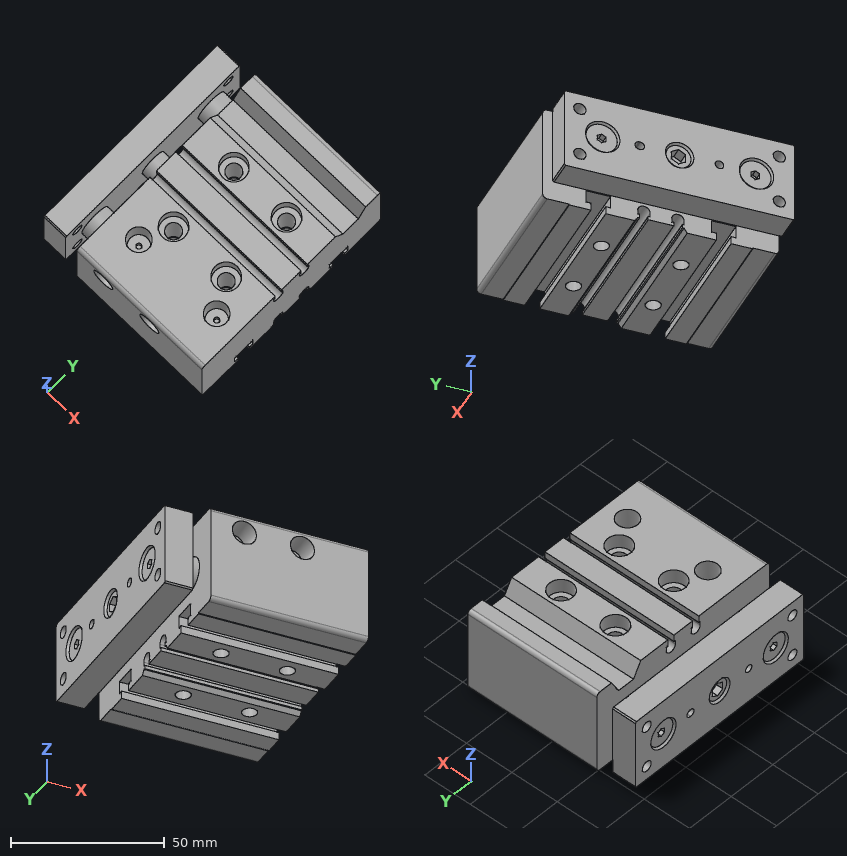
import cadquery as cq
import math


total_length = 73.0
housing_width = 83.0
housing_height = 36.0
plate_thickness = 10.05
rod_gap = 6.0
housing_front = plate_thickness + rod_gap
housing_length = total_length - housing_front
housing_top = housing_height / 2
housing_bottom = -housing_top
housing_side = -housing_width / 2
housing_edge_radius = 1.6

relief_depth = 0.3
foot_half_width = 32.2

plate_width = 80.9
plate_height = 30.0
plate_edge_chamfer = 0.5
corner_hole_diameter = 4.2
corner_hole_pitch_y = 70.0
corner_hole_pitch_z = 18.0
locating_hole_diameter = 3.0
locating_slot_length = 3.3
locating_pitch = 28.0
locating_depth = 6.0

guide_rod_diameter = 12.0
guide_rod_pitch = 53.95
piston_rod_diameter = 10.0
guide_recess_floor = 10.95
piston_recess_floor = 8.7
rod_recess_depth = 0.9
hexagon_sides = 6
guide_socket_flats = 3.0
piston_socket_flats = 5.0
guide_socket_depth = 2.5
piston_socket_depth = 4.15

mount_first_x = housing_front + 17.1
mount_pitch_x = 24.0
mount_pitch_y = locating_pitch
mount_diameter = 5.8
mount_bore_diameter = 10.0
mount_bore_depth = 5.8
tapped_diameter = 5.2
tapped_depth = 12.0

port_mouth_diameter = 8.6
port_floor_diameter = 7.7
port_depth = 8.3
air_passage_diameter = 2.0
air_passage_depth = 2.5
port_front_x = housing_front + 12.1
top_port_rear_x = housing_front + 47.6
side_port_rear_x = housing_front + 33.1
top_port_y = -25.0
side_port_z = 11.4

sensor_groove_y = 6.0
sensor_neck_width = 3.0
sensor_neck_depth = 3.1
sensor_radius = 2.15
sensor_center_depth = 4.5

channel_floor_half_width = 8.05
channel_mouth_half_width = 9.2
channel_depth = 1.7

t_slot_y = 22.0
t_slot_neck_width = 5.2
t_slot_head_width = 8.55
t_slot_lip = 2.8
t_slot_depth = 7.3

groove_y = 27.5
groove_floor_width = 7.1
groove_depth = 6.0
groove_wall_lean = math.radians(30)
groove_mouth_width = groove_floor_width + 2 * groove_depth * math.tan(groove_wall_lean)


def profile_along_housing(points):
    """Extrude a closed YZ outline over the full length of the housing."""
    section = cq.Workplane("YZ", origin=(housing_front, 0, 0)).polyline(points).close()
    return section.extrude(housing_length)


def bar_along_housing(y_center, width, z_low, z_high):
    """Rectangular bar over the full length of the housing."""
    corner = cq.Vector(housing_front, y_center - width / 2, z_low)
    return cq.Workplane(cq.Solid.makeBox(housing_length, width, z_high - z_low, corner))


def tapered_recess(point, direction, mouth_diameter, floor_diameter, depth):
    """Conical recess that narrows from its mouth to a flat floor."""
    cone = cq.Solid.makeCone(mouth_diameter / 2, floor_diameter / 2, depth,
                             cq.Vector(*point), cq.Vector(*direction))
    return cq.Workplane(cone)


def cylinder_along(point, direction, diameter, depth):
    """Solid cylinder that starts at a point and runs along a direction."""
    body = cq.Solid.makeCylinder(diameter / 2, depth, cq.Vector(*point), cq.Vector(*direction))
    return cq.Workplane(body)



def housing_block():
    block = bar_along_housing(0, housing_width, housing_bottom, housing_top)
    margin_width = housing_width / 2 - foot_half_width
    margin_y = foot_half_width + margin_width / 2
    relief_top = housing_bottom + relief_depth
    for side in (-1, 1):
        relief = bar_along_housing(side * margin_y, margin_width, housing_bottom, relief_top)
        block = block.cut(relief)
    outer_edges = block.edges("|X and (<Y or >Y)")
    return outer_edges.fillet(housing_edge_radius)


def sensor_groove(y_center):
    """Narrow neck that opens into a wider channel with a round floor, sunk from the top."""
    neck = bar_along_housing(y_center, sensor_neck_width, housing_top - sensor_neck_depth, housing_top)
    center_z = housing_top - sensor_center_depth
    throat = bar_along_housing(y_center, 2 * sensor_radius, center_z, housing_top - sensor_neck_depth)
    floor = cylinder_along((housing_front, y_center, center_z), (1, 0, 0), 2 * sensor_radius, housing_length)
    return neck.union(throat).union(floor)


def underside_channel():
    floor_z = housing_bottom + channel_depth
    return profile_along_housing([
        (-channel_mouth_half_width, housing_bottom),
        (channel_mouth_half_width, housing_bottom),
        (channel_floor_half_width, floor_z),
        (-channel_floor_half_width, floor_z),
    ])


def t_slot(y_center):
    lip_z = housing_bottom + t_slot_lip
    neck = bar_along_housing(y_center, t_slot_neck_width, housing_bottom, lip_z)
    head = bar_along_housing(y_center, t_slot_head_width, lip_z, housing_bottom + t_slot_depth)
    return neck.union(head)


def top_groove():
    floor_z = housing_top - groove_depth
    return profile_along_housing([
        (groove_y - groove_mouth_width / 2, housing_top),
        (groove_y - groove_floor_width / 2, floor_z),
        (groove_y + groove_floor_width / 2, floor_z),
        (groove_y + groove_mouth_width / 2, housing_top),
    ])


def mounting_hole(x, y):
    bore = cylinder_along((x, y, housing_top), (0, 0, -1), mount_bore_diameter, mount_bore_depth)
    shank_length = housing_height - tapped_depth
    shank = cylinder_along((x, y, housing_top), (0, 0, -1), mount_diameter, shank_length)
    tapped = cylinder_along((x, y, housing_bottom), (0, 0, 1), tapped_diameter, tapped_depth)
    return bore.union(shank).union(tapped)


def air_port(point, direction):
    mouth = tapered_recess(point, direction, port_mouth_diameter, port_floor_diameter, port_depth)
    passage = cylinder_along(point, direction, air_passage_diameter, port_depth + air_passage_depth)
    return mouth.union(passage)


def make_housing():
    body = housing_block().cut(top_groove()).cut(underside_channel())
    for side in (-1, 1):
        groove = sensor_groove(side * sensor_groove_y)
        body = body.cut(groove).cut(groove.mirror("XY"))
        body = body.cut(t_slot(side * t_slot_y))
        for x in (mount_first_x, mount_first_x + mount_pitch_x):
            body = body.cut(mounting_hole(x, side * mount_pitch_y / 2))
    for x in (port_front_x, top_port_rear_x):
        body = body.cut(air_port((x, top_port_y, housing_top), (0, 0, -1)))
    for x in (port_front_x, side_port_rear_x):
        body = body.cut(air_port((x, housing_side, side_port_z), (0, 1, 0)))
    return body



def plate_block():
    center = (plate_thickness / 2, 0, 0)
    block = cq.Workplane("XY", origin=center).box(plate_thickness, plate_width, plate_height)
    return block.edges("|X").chamfer(plate_edge_chamfer)


def rod(y, diameter):
    """Rod from the back of the plate to the front face of the housing."""
    return cylinder_along((plate_thickness, y, 0), (1, 0, 0), diameter, rod_gap)


def rod_end(y, rod_diameter, floor_diameter, socket_flats, socket_depth):
    """Tapered recess over a rod end, with a hexagon socket whose corners point up and down."""
    recess = tapered_recess((0, y, 0), (1, 0, 0), rod_diameter, floor_diameter, rod_recess_depth)
    corner_diameter = socket_flats / math.cos(math.pi / hexagon_sides)
    corner_up_plane = cq.Workplane(cq.Plane(origin=(0, y, 0), xDir=(0, 0, 1), normal=(1, 0, 0)))
    socket = corner_up_plane.polygon(hexagon_sides, corner_diameter).extrude(rod_recess_depth + socket_depth)
    return recess.union(socket)


def locating_slot(y):
    slot = cq.Workplane("YZ", origin=(0, y, 0)).slot2D(locating_slot_length, locating_hole_diameter)
    return slot.extrude(locating_depth)


def make_plate():
    guide_y = guide_rod_pitch / 2
    body = plate_block().union(rod(0, piston_rod_diameter))
    body = body.cut(rod_end(0, piston_rod_diameter, piston_recess_floor,
                            piston_socket_flats, piston_socket_depth))
    for side in (-1, 1):
        y = side * guide_y
        body = body.union(rod(y, guide_rod_diameter))
        body = body.cut(rod_end(y, guide_rod_diameter, guide_recess_floor,
                                guide_socket_flats, guide_socket_depth))
        for level in (-1, 1):
            corner = (0, side * corner_hole_pitch_y / 2, level * corner_hole_pitch_z / 2)
            body = body.cut(cylinder_along(corner, (1, 0, 0), corner_hole_diameter, plate_thickness))
    body = body.cut(locating_slot(locating_pitch / 2))
    round_locator = (0, -locating_pitch / 2, 0)
    return body.cut(cylinder_along(round_locator, (1, 0, 0), locating_hole_diameter, locating_depth))


housing = make_housing()
plate = make_plate()
result = cq.Compound.makeCompound([housing.solids().val(), plate.solids().val()])